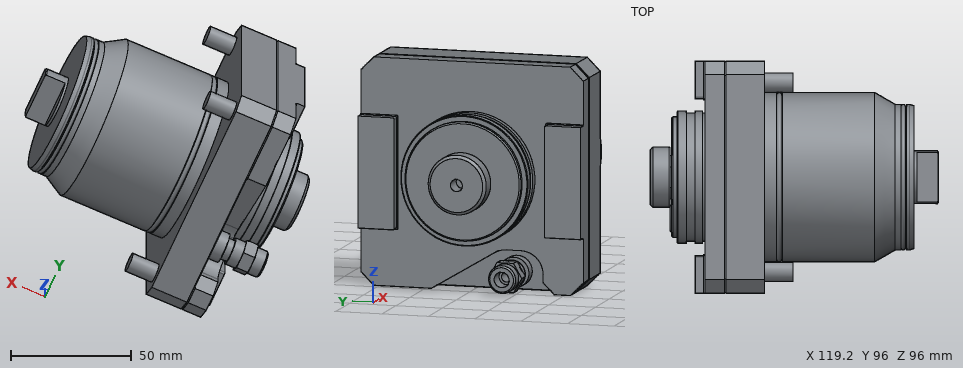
import cadquery as cq
import math


KNOB_RADIUS = 12.5
KNOB_LENGTH = 8.3
KNOB_FRONT_CHAMFER = 1.2
KNOB_REAR_FILLET = 0.7
KNOB_HOLE_DIAMETER = 5.1
KNOB_HOLE_DEPTH = KNOB_LENGTH
NECK_RADIUS = 9.0
NECK_FLATS = 16.0

CAP_FRONT = 8.9
CAP_NOSE_RADIUS = 25.0
CAP_NOSE_CHAMFER = 0.6
RING_RADIUS = 27.4
RING_GROOVE_RADIUS = 26.6
RING_CHAMFER = 0.4
FRONT_RING = (11.2, 15.0)
REAR_RING = (18.6, 21.7)

FLANGE_SIZE = 96.0
FLANGE_CHAMFER = 5.6
FLANGE_FRONT = 22.6
SEAM_X = 31.1
FLANGE_REAR = 47.3
SEAM_WIDTH = 0.6
SEAM_DEPTH = 0.2

PAD_FRONT = 18.6
PAD_HEIGHT = 47.1
PAD_WIDTH = 15.6
PAD_CORNER_RADIUS = 0.7
PAD_LIP_OFFSET = 0.5
PAD_LIP_THICKNESS = 0.5

POCKET_DEPTH = SEAM_X - FLANGE_FRONT
POCKET_TOP_Z = -30.2
POCKET_SIDE_Y = -30.6
POCKET_CORNER_Z = -43.2
POCKET_RADIUS = 9.5
POCKET_SLOPE_FOOT_Y = 17.5
POCKET_SLOPE_ANGLE = 31.0

FITTING_Y = -17.0
FITTING_Z = -40.2
FITTING_FRONT = 8.2
FITTING_RADIUS = 5.8
FITTING_CHAMFER = 0.7
FITTING_BODY_END = 23.1
HEX_SIDES = 6
FITTING_HEX_FLATS = 12.4
FITTING_HEX_START = 13.5
FITTING_HEX_END = 18.7
FITTING_STEM_RADIUS = 4.6
FITTING_COLLAR_RADIUS = 6.4
FITTING_COLLAR_START = 26.2
FITTING_BORE_RADIUS = 3.2
FITTING_BORE_DEPTH = 7.2
FITTING_PASSAGE_RADIUS = 2.1

POST_RADIUS = 4.0
POST_OFFSET = 39.1
POST_END = 59.1

BODY_RADIUS = 35.0
BODY_CONE_START = 92.9
TAIL_RADIUS = 30.2
TAIL_START = 101.3
TAIL_TAPER_START = 107.3
TAIL_END_RADIUS = 29.6
TAIL_END = 109.2
BODY_GROOVE = (52.3, 54.7)
BODY_RING_WIDTH = 2.1
TAIL_GROOVE = (103.8, 106.1)
TAIL_RING_WIDTH = 1.7

TANG_RADIUS = 11.0
TANG_SHOULDER = 110.3
TANG_THICKNESS = 8.0
TANG_END = 119.2
TANG_CHAMFER = 0.5


def section_at(x):
    """Workplane across the main axis: local x is +Y, local y is +Z, normal is +X."""
    return cq.Workplane(cq.Plane(origin=(x, 0, 0), xDir=(0, 1, 0), normal=(1, 0, 0)))


def rod(radius, start, end, y=0, z=0):
    """Round bar along X."""
    return section_at(start).center(y, z).circle(radius).extrude(end - start)


def octagon_plate(size, corner, start, end):
    """Square plate with chamfered corners."""
    plate = section_at(start).rect(size, size).extrude(end - start)
    return plate.edges("|X").chamfer(corner)


def make_knob():
    knob = rod(KNOB_RADIUS, 0, KNOB_LENGTH)
    knob = knob.faces("<X").chamfer(KNOB_FRONT_CHAMFER)
    knob = knob.faces(">X").edges().fillet(KNOB_REAR_FILLET)
    neck = rod(NECK_RADIUS, KNOB_LENGTH, CAP_FRONT)
    neck = neck.intersect(section_at(0).rect(2 * NECK_RADIUS, NECK_FLATS).extrude(CAP_FRONT))
    return knob.union(neck)


def make_cap():
    cap = rod(CAP_NOSE_RADIUS, CAP_FRONT, FRONT_RING[0]).faces("<X").chamfer(CAP_NOSE_CHAMFER)
    cap = cap.union(rod(RING_GROOVE_RADIUS, FRONT_RING[0], FLANGE_FRONT))
    front_ring = rod(RING_RADIUS, *FRONT_RING).faces("<X").chamfer(RING_CHAMFER)
    return cap.union(front_ring).union(rod(RING_RADIUS, *REAR_RING))


def make_flange():
    core = FLANGE_SIZE - 2 * SEAM_DEPTH
    flange = octagon_plate(core, FLANGE_CHAMFER, FLANGE_FRONT, FLANGE_REAR)
    front_end = SEAM_X - SEAM_WIDTH / 2
    rear_start = SEAM_X + SEAM_WIDTH / 2
    for start, end in ((FLANGE_FRONT, front_end), (rear_start, FLANGE_REAR)):
        flange = flange.union(octagon_plate(FLANGE_SIZE, FLANGE_CHAMFER, start, end))
    return flange


def make_pad(side):
    """Pad flush with one side of the flange, standing on a slightly larger lip."""
    def block(growth, start):
        width = PAD_WIDTH + growth
        center_y = side * (FLANGE_SIZE - width) / 2
        inner_edges = "|X and <Y" if side > 0 else "|X and >Y"
        shape = section_at(start).center(center_y, 0).rect(width, PAD_HEIGHT + 2 * growth)
        return shape.extrude(FLANGE_FRONT - start).edges(inner_edges).fillet(PAD_CORNER_RADIUS)

    return block(0, PAD_FRONT).union(block(PAD_LIP_OFFSET, FLANGE_FRONT - PAD_LIP_THICKNESS))


def make_pocket():
    """Cutter with one sloped side, two rounded upper corners and a flared foot."""
    bottom_z = -FLANGE_SIZE / 2
    flare_y = POCKET_SIDE_Y - (POCKET_CORNER_Z - bottom_z)
    slope_run = (POCKET_TOP_Z - bottom_z) / math.tan(math.radians(POCKET_SLOPE_ANGLE))
    outline = [
        (POCKET_SLOPE_FOOT_Y, bottom_z),
        (POCKET_SLOPE_FOOT_Y - slope_run, POCKET_TOP_Z),
        (POCKET_SIDE_Y, POCKET_TOP_Z),
        (POCKET_SIDE_Y, POCKET_CORNER_Z),
        (flare_y, bottom_z),
    ]
    pocket = section_at(FLANGE_FRONT).polyline(outline).close().extrude(POCKET_DEPTH)
    return pocket.edges("|X").edges(">Z").fillet(POCKET_RADIUS)


def make_fitting():
    def piece(radius, start, end):
        return rod(radius, start, end, FITTING_Y, FITTING_Z)

    body = piece(FITTING_RADIUS, FITTING_FRONT, FITTING_BODY_END).faces("<X").chamfer(FITTING_CHAMFER)
    hex_corners = FITTING_HEX_FLATS / math.cos(math.pi / HEX_SIDES)
    hexagon = section_at(FITTING_HEX_START).center(FITTING_Y, FITTING_Z)
    hexagon = hexagon.polygon(HEX_SIDES, hex_corners)
    body = body.union(hexagon.extrude(FITTING_HEX_END - FITTING_HEX_START))
    body = body.union(piece(FITTING_STEM_RADIUS, FITTING_BODY_END, FITTING_COLLAR_START))
    body = body.union(piece(FITTING_COLLAR_RADIUS, FITTING_COLLAR_START, SEAM_X))
    bore_end = FITTING_FRONT + FITTING_BORE_DEPTH
    body = body.cut(piece(FITTING_BORE_RADIUS, FITTING_FRONT, bore_end))
    return body.cut(piece(FITTING_PASSAGE_RADIUS, bore_end, SEAM_X))


def add_ring_groove(profile, radius, groove, ring_width):
    """Groove holding a round sealing ring, added to a profile running towards +X."""
    start, end = groove
    depth = ring_width / 2
    floor = radius - depth
    profile = profile.lineTo(start, radius).lineTo(start, floor)
    profile = profile.threePointArc((start + depth, radius), (start + ring_width, floor))
    return profile.lineTo(end, floor).lineTo(end, radius)


def make_body():
    """Body and tail, revolved from an (x, radius) profile about the main axis."""
    profile = cq.Workplane("XY").moveTo(FLANGE_REAR, 0).lineTo(FLANGE_REAR, BODY_RADIUS)
    profile = add_ring_groove(profile, BODY_RADIUS, BODY_GROOVE, BODY_RING_WIDTH)
    profile = profile.lineTo(BODY_CONE_START, BODY_RADIUS).lineTo(TAIL_START, TAIL_RADIUS)
    profile = add_ring_groove(profile, TAIL_RADIUS, TAIL_GROOVE, TAIL_RING_WIDTH)
    profile = profile.lineTo(TAIL_TAPER_START, TAIL_RADIUS).lineTo(TAIL_END, TAIL_END_RADIUS)
    return profile.lineTo(TAIL_END, 0).close().revolve(360, (0, 0, 0), (1, 0, 0))


def make_tang():
    shoulder = rod(TANG_RADIUS, TAIL_END, TANG_SHOULDER)
    blade = rod(TANG_RADIUS, TANG_SHOULDER, TANG_END).faces(">X").chamfer(TANG_CHAMFER)
    slab = section_at(TANG_SHOULDER).rect(2 * TANG_RADIUS, TANG_THICKNESS)
    return shoulder.union(blade.intersect(slab.extrude(TANG_END - TANG_SHOULDER)))


result = make_flange()
for side in (-1, 1):
    result = result.union(make_pad(side))
result = result.cut(make_pocket())
result = result.union(make_cap()).union(make_knob())
result = result.union(make_body()).union(make_tang()).union(make_fitting())
for post_y in (-POST_OFFSET, POST_OFFSET):
    for post_z in (-POST_OFFSET, POST_OFFSET):
        result = result.union(rod(POST_RADIUS, FLANGE_REAR, POST_END, post_y, post_z))
result = result.cut(rod(KNOB_HOLE_DIAMETER / 2, 0, KNOB_HOLE_DEPTH))